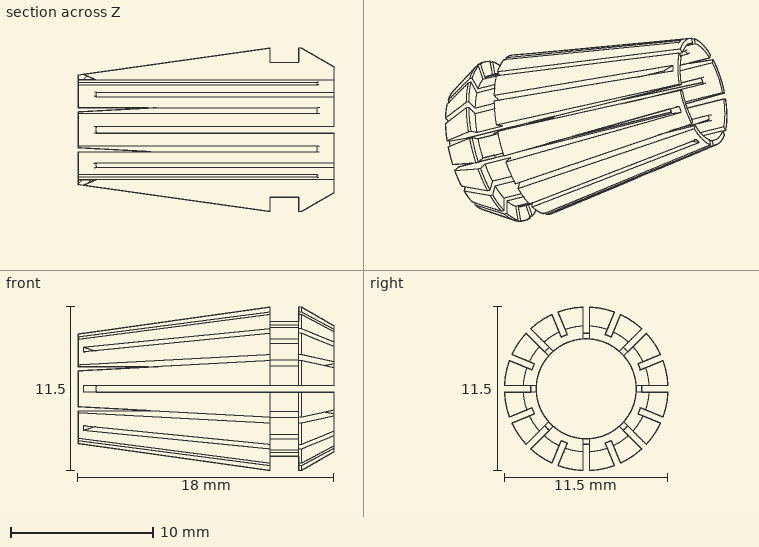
import cadquery as cq
import math


length = 18.0
max_radius = 5.76
bore_radius = 3.51

cone_length = 13.5
cone_angle = 8.0
nose_radius = max_radius - cone_length * math.tan(math.radians(cone_angle))

groove_radius = 4.75
groove_end = 15.5
rim_width = 0.2
head_angle = 30.0
rim_end = groove_end + rim_width
tail_radius = max_radius - (length - rim_end) * math.tan(math.radians(head_angle))

slots_per_set = 8
slot_pitch = 360.0 / slots_per_set
slot_width = 0.45
runout_angle = 24.0
runout_slope = math.tan(math.radians(runout_angle))
rear_slot_start = 1.26
front_slot_end = 16.8
overcut = 0.9


def make_body():
    """Revolved collet blank with its through bore."""
    outline = [
        (0, bore_radius),
        (0, nose_radius),
        (cone_length, max_radius),
        (cone_length, groove_radius),
        (groove_end, groove_radius),
        (groove_end, max_radius),
        (rim_end, max_radius),
        (length, tail_radius),
        (length, bore_radius),
    ]
    return cq.Workplane("XY").polyline(outline).close().revolve(360, (0, 0, 0), (1, 0, 0))


def make_slot(open_end, closed_end, first_angle, index):
    """Radial slot cutter; closed_end is where its sloped floor meets the bore wall."""
    inner = bore_radius - overcut
    outer = max_radius + overcut
    direction = math.copysign(1, closed_end - open_end)
    inner_end = closed_end - direction * overcut / runout_slope
    outer_end = closed_end + direction * (outer - bore_radius) / runout_slope
    profile = [(open_end, inner), (inner_end, inner), (outer_end, outer), (open_end, outer)]
    cutter = cq.Workplane("XZ").polyline(profile).close().extrude(slot_width / 2, both=True)
    return cutter.rotate((0, 0, 0), (1, 0, 0), first_angle + index * slot_pitch)


result = make_body()
for index in range(slots_per_set):
    result = result.cut(make_slot(length + overcut, rear_slot_start, 0, index))
    result = result.cut(make_slot(-overcut, front_slot_end, slot_pitch / 2, index))